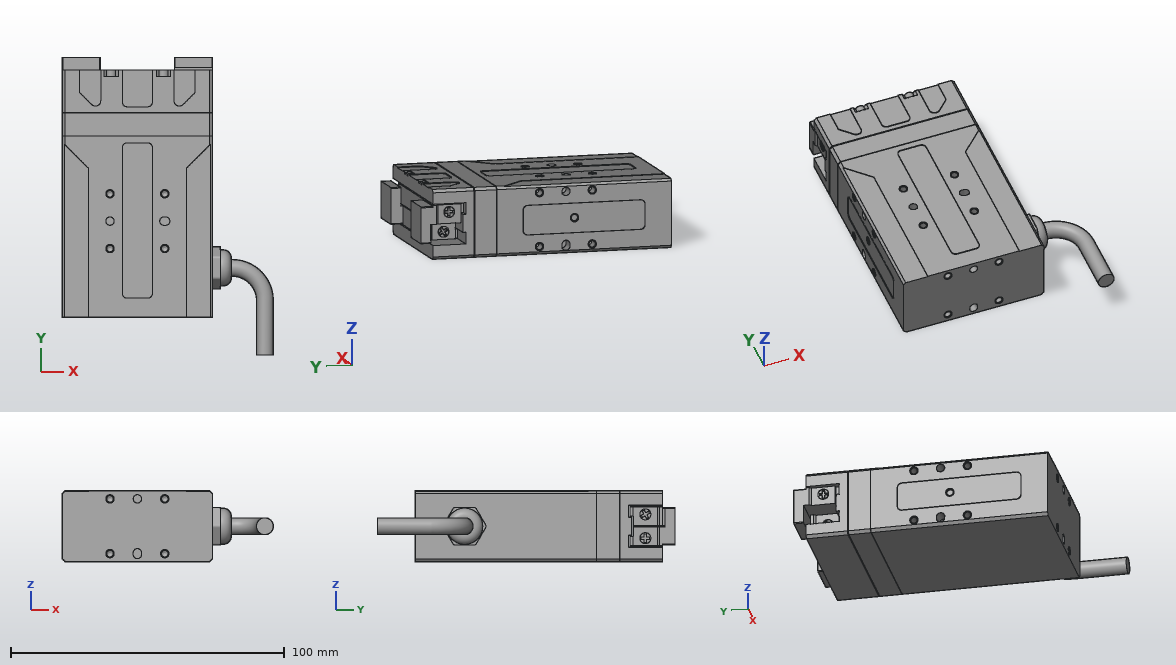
import cadquery as cq
import math


WIDTH = 55.1
LENGTH = 90.5
HEIGHT = 26.0
EDGE_CHAMFER = 1.1
SIDE_X = -WIDTH / 2
TOP_Z = HEIGHT / 2

SEAM_DEPTH = 0.1
CAP_SEAM_Y = 74.8
CAP_SEAM_WIDTH = 0.3
COVER_SEAM_Y = 66.3
COVER_SEAM_WIDTH = 0.1

RECESS_DEPTH = 0.3
RECESS_WIDTH = 11.0
RECESS_RADIUS = 1.7
TOP_RECESS_START_Y = 7.0
TOP_RECESS_END_Y = 63.8
SIDE_RECESS_START_Y = 10.0
SIDE_RECESS_END_Y = 56.3
FRONT_RECESS_START_Y = 77.0
FLANK_RECESS_INNER_X = 13.4
FLANK_RECESS_OUTER_X = 21.1
FLANK_RECESS_BEND_Y = 82.2
FLANK_RECESS_RADIUS = 2.0
PANEL_DEPTH = 0.2
PANEL_INNER_X = 18.0
PANEL_BEND_Y = 54.5

HOLE_PITCH = 10.0
HOLE_DEPTH = 5.4
THREAD_DIAMETER = 3.0
DRILL_DIAMETER = 2.4
THREAD_MOUTH_DEPTH = 0.3
DRILL_TIP_ANGLE = 118
DOWEL_DIAMETER = 3.0
DOWEL_SLOT_LENGTH = 3.7
TOP_HOLES_Y = 35.2
SIDE_HOLES_Y = 40.1
PLUG_HOLE_Y = 36.7
PLUG_HOLE_DEPTH = 1.0

SCREW_X = 9.6
SCREW_DIAMETER = 3.7
SCREW_AXIS_Z = TOP_Z - SCREW_DIAMETER / 2
SCREW_LENGTH = 2.4
NOTCH_WIDTH = 5.2
NOTCH_DEPTH = 1.1

SLOT_HEIGHT = 15.3
SLOT_BACK_Y = 79.1
RELIEF_BACK_Y = 78.0
RELIEF_INNER_Z = 3.4

TIP_HEIGHT = 13.7
TIP_END_Y = 95.0
TIP_BACK_Y = 91.3
TIP_LENGTH = 14.0
TIP_CHAMFER = 0.3
RAIL_TOP_Z = 7.2
RAIL_BOTTOM_Z = 0.16
RAIL_FRONT_Y = LENGTH
RAIL_BACK_Y = 79.7
RAIL_END_X = 19.8
RAIL_LIP_Y = 89.3
RAIL_END_STEP = 0.8
FLANGE_BACK_Y = 78.5
FLANGE_BOTTOM_Z = 3.7
FLANGE_INSET = 1.1
JAW_SCREW_DIAMETER = 4.0
JAW_SCREW_Y = 84.1
JAW_SCREW_Z = 4.4
JAW_SCREW_RECESS = 0.2
CROSS_LENGTH = 3.0
CROSS_WIDTH = 0.9
CROSS_DEPTH = 0.7
CROSS_TURN = 30

GLAND_Y = 18.1
NUT_ACROSS_FLATS = 13.8
NUT_LENGTH = 2.8
NUT_CORNER_RADIUS = 1.2
DOME_DIAMETER = 13.3
DOME_LENGTH = 4.0
DOME_FILLET = 3.0
CABLE_DIAMETER = 6.2
CABLE_BEND_RADIUS = 12.0
CABLE_OUTER_X = 49.7
CABLE_X = CABLE_OUTER_X - CABLE_DIAMETER / 2
CABLE_END_Y = -13.8


def box(x_range, y_range, z_range):
    """Box between the given ends along X, Y and Z."""
    size = [high - low for low, high in (x_range, y_range, z_range)]
    corner = (x_range[0], y_range[0], z_range[0])
    return cq.Workplane("XY").box(*size, centered=False).translate(corner)


TOP_FACE = cq.Plane(origin=(0, 0, TOP_Z), xDir=(1, 0, 0), normal=(0, 0, 1))
END_FACE = cq.Plane(origin=(0, 0, 0), xDir=(1, 0, 0), normal=(0, -1, 0))
SIDE_FACE = cq.Plane(origin=(SIDE_X, 0, 0), xDir=(0, -1, 0), normal=(-1, 0, 0))


def block_slice(start_y, end_y, inset=0.0):
    """Length of the chamfered block, with its long faces moved in by the inset."""
    return (
        cq.Workplane("XY")
        .box(WIDTH - 2 * inset, end_y - start_y, HEIGHT - 2 * inset)
        .edges("|Y")
        .chamfer(EDGE_CHAMFER)
        .translate((0, (start_y + end_y) / 2, 0))
    )


def cut_seam(body, middle_y, width):
    """Cut a shallow groove all round the block."""
    start_y = middle_y - width / 2
    end_y = middle_y + width / 2
    ring = block_slice(start_y, end_y).cut(block_slice(start_y, end_y, SEAM_DEPTH))
    return body.cut(ring)


def rounded_recess(plane, middle, length_x, length_y):
    """Shallow rectangle with round corners, ready to cut into a face."""
    return (
        cq.Workplane(plane)
        .center(*middle)
        .rect(length_x, length_y)
        .extrude(-RECESS_DEPTH)
        .edges(cq.selectors.ParallelDirSelector(plane.zDir))
        .fillet(RECESS_RADIUS)
    )


def cut_middle_recesses(body):
    """Long recesses in the top and the -X side."""
    top_length = TOP_RECESS_END_Y - TOP_RECESS_START_Y
    top_middle = (0, TOP_RECESS_START_Y + top_length / 2)
    side_length = SIDE_RECESS_END_Y - SIDE_RECESS_START_Y
    side_middle = (-SIDE_RECESS_START_Y - side_length / 2, 0)
    body = body.cut(rounded_recess(TOP_FACE, top_middle, RECESS_WIDTH, top_length))
    return body.cut(rounded_recess(SIDE_FACE, side_middle, side_length, RECESS_WIDTH))


def cut_front_recesses(body):
    """Three recesses in the top that run out at the +Y end."""
    length = LENGTH - FRONT_RECESS_START_Y
    middle_recess = (
        cq.Workplane(TOP_FACE)
        .center(0, FRONT_RECESS_START_Y + length / 2)
        .rect(RECESS_WIDTH, length)
        .extrude(-RECESS_DEPTH)
        .edges("|Z and <Y")
        .fillet(RECESS_RADIUS)
    )
    bend_run = FLANK_RECESS_OUTER_X - FLANK_RECESS_INNER_X
    flank_recess = (
        cq.Workplane(TOP_FACE)
        .moveTo(FLANK_RECESS_INNER_X, LENGTH)
        .lineTo(FLANK_RECESS_OUTER_X, LENGTH)
        .lineTo(FLANK_RECESS_OUTER_X, FLANK_RECESS_BEND_Y)
        .lineTo(FLANK_RECESS_INNER_X, FLANK_RECESS_BEND_Y - bend_run)
        .close()
        .extrude(-RECESS_DEPTH)
        .edges("|Z and <Y")
        .fillet(FLANK_RECESS_RADIUS)
    )
    return body.cut(middle_recess).cut(flank_recess).cut(flank_recess.mirror("YZ"))


def cut_side_panels(body):
    """Lowered panels along both long edges of the top, ended by a 45 degree step."""
    run = WIDTH / 2 - PANEL_INNER_X
    panel = (
        cq.Workplane(TOP_FACE)
        .moveTo(PANEL_INNER_X, 0)
        .lineTo(PANEL_INNER_X + run, 0)
        .lineTo(PANEL_INNER_X + run, PANEL_BEND_Y + run)
        .lineTo(PANEL_INNER_X, PANEL_BEND_Y)
        .close()
        .extrude(-PANEL_DEPTH)
    )
    return body.cut(panel).cut(panel.mirror("YZ"))


def cut_threaded_holes(body, plane, points):
    """Threaded holes: a wide mouth, a drilled hole and a conical bottom."""
    radius = DRILL_DIAMETER / 2
    tip_depth = HOLE_DEPTH + radius / math.tan(math.radians(DRILL_TIP_ANGLE / 2))
    profile = (
        cq.Workplane("XZ")
        .moveTo(0, 0)
        .lineTo(THREAD_DIAMETER / 2, 0)
        .lineTo(THREAD_DIAMETER / 2, -THREAD_MOUTH_DEPTH)
        .lineTo(radius, -THREAD_MOUTH_DEPTH)
        .lineTo(radius, -HOLE_DEPTH)
        .lineTo(0, -tip_depth)
        .close()
    )
    tool = profile.revolve(360, (0, 0, 0), (0, 1, 0)).val()
    for point in points:
        place = cq.Plane(plane.toWorldCoords(point), plane.xDir, plane.zDir)
        body = body.cut(tool.located(cq.Location(place)))
    return body


def cut_dowel_holes(body, plane, round_point, slot_point, slot_angle):
    """A round dowel hole and a slotted one."""
    round_hole = cq.Workplane(plane).center(*round_point).circle(DOWEL_DIAMETER / 2).extrude(-HOLE_DEPTH)
    slot = (
        cq.Workplane(plane)
        .center(*slot_point)
        .slot2D(DOWEL_SLOT_LENGTH, DOWEL_DIAMETER, slot_angle)
        .extrude(-HOLE_DEPTH)
    )
    return body.cut(round_hole).cut(slot)


def cut_mounting_holes(body):
    """Four threaded holes and two dowel holes on the top, the -Y end and the -X side."""
    patterns = [
        (TOP_FACE, (0, TOP_HOLES_Y), (-HOLE_PITCH, 0), (HOLE_PITCH, 0), 0),
        (END_FACE, (0, 0), (0, HOLE_PITCH), (0, -HOLE_PITCH), 90),
        (SIDE_FACE, (-SIDE_HOLES_Y, 0), (0, HOLE_PITCH), (0, -HOLE_PITCH), 90),
    ]
    for face, middle, round_point, slot_point, slot_angle in patterns:
        plane = cq.Plane(face.toWorldCoords(middle), face.xDir, face.zDir)
        corners = [(x, y) for x in (-HOLE_PITCH, HOLE_PITCH) for y in (-HOLE_PITCH, HOLE_PITCH)]
        body = cut_threaded_holes(body, plane, corners)
        body = cut_dowel_holes(body, plane, round_point, slot_point, slot_angle)
    return body


def cut_plug_hole(body):
    """Stepped hole in the floor of the side recess."""
    start = cq.Workplane(SIDE_FACE).center(-PLUG_HOLE_Y, 0)
    mouth = start.circle(THREAD_DIAMETER / 2).extrude(-RECESS_DEPTH - THREAD_MOUTH_DEPTH)
    bore = start.circle(DRILL_DIAMETER / 2).extrude(-PLUG_HOLE_DEPTH)
    return body.cut(mouth).cut(bore)


def cut_jaw_slot(body):
    """Slot for the jaws, through the block along X, with deeper top and bottom corners."""
    across = (SIDE_X, -SIDE_X)
    half = SLOT_HEIGHT / 2
    slot = box(across, (SLOT_BACK_Y, LENGTH), (-half, half))
    upper_relief = box(across, (RELIEF_BACK_Y, SLOT_BACK_Y), (RELIEF_INNER_Z, half))
    return body.cut(slot).cut(upper_relief).cut(upper_relief.mirror("XY"))


def add_screw_barrels(body):
    """Round screw barrels along Y, bared by 45 degree notches in the top edge."""
    floor_z = TOP_Z - NOTCH_DEPTH
    mouth_half = NOTCH_WIDTH / 2
    floor_half = mouth_half - NOTCH_DEPTH
    for x in (-SCREW_X, SCREW_X):
        notch = (
            cq.Workplane("XZ", origin=(0, LENGTH, 0))
            .moveTo(x - mouth_half, TOP_Z)
            .lineTo(x + mouth_half, TOP_Z)
            .lineTo(x + floor_half, floor_z)
            .lineTo(x - floor_half, floor_z)
            .close()
            .extrude(SCREW_LENGTH)
        )
        screw_start = cq.Workplane("XZ", origin=(x, LENGTH, SCREW_AXIS_Z))
        screw = screw_start.circle(SCREW_DIAMETER / 2).extrude(SCREW_LENGTH)
        body = body.cut(notch).union(screw)
    return body


def make_gland():
    """Hexagonal nut with rounded corners and a domed cap, on the +X side."""
    across_corners = NUT_ACROSS_FLATS / math.cos(math.pi / 6)
    face = cq.Workplane("YZ", origin=(WIDTH / 2, GLAND_Y, 0))
    nut = face.polygon(6, across_corners).extrude(NUT_LENGTH).edges("|X").fillet(NUT_CORNER_RADIUS)
    dome = (
        face.workplane(offset=NUT_LENGTH)
        .circle(DOME_DIAMETER / 2)
        .extrude(DOME_LENGTH)
        .faces(">X")
        .edges()
        .fillet(DOME_FILLET)
    )
    return nut.union(dome)


def make_cable():
    """Round cable that leaves the gland along +X and bends to -Y."""
    start_x = WIDTH / 2 + NUT_LENGTH
    bend_x = CABLE_X - CABLE_BEND_RADIUS
    bend_y = GLAND_Y - CABLE_BEND_RADIUS
    diagonal = CABLE_BEND_RADIUS * math.sqrt(0.5)
    path = (
        cq.Workplane("XY")
        .moveTo(start_x, GLAND_Y)
        .lineTo(bend_x, GLAND_Y)
        .threePointArc((bend_x + diagonal, bend_y + diagonal), (CABLE_X, bend_y))
        .lineTo(CABLE_X, CABLE_END_Y)
    )
    return cq.Workplane("YZ", origin=(start_x, GLAND_Y, 0)).circle(CABLE_DIAMETER / 2).sweep(path)


def make_housing():
    """Chamfered block with all its details, together with the gland and the cable."""
    body = block_slice(0, LENGTH)
    body = cut_seam(body, CAP_SEAM_Y, CAP_SEAM_WIDTH)
    body = cut_seam(body, COVER_SEAM_Y, COVER_SEAM_WIDTH)
    body = cut_middle_recesses(body)
    body = cut_front_recesses(body)
    body = cut_side_panels(body)
    body = cut_mounting_holes(body)
    body = cut_plug_hole(body)
    body = cut_jaw_slot(body)
    body = add_screw_barrels(body)
    return body.union(make_gland()).union(make_cable())


def cut_jaw_screw(jaw, end_x, turn):
    """Sunk screw head with a cross recess in one end of the rail."""
    inward = 1 if end_x < 0 else -1
    face = cq.Workplane("YZ", origin=(end_x, JAW_SCREW_Y, JAW_SCREW_Z))
    head = face.circle(JAW_SCREW_DIAMETER / 2).extrude(inward * JAW_SCREW_RECESS)
    jaw = jaw.cut(head)
    for angle in (turn, turn + 90):
        arm = face.transformed(rotate=(0, 0, angle)).rect(CROSS_LENGTH, CROSS_WIDTH)
        jaw = jaw.cut(arm.extrude(inward * (JAW_SCREW_RECESS + CROSS_DEPTH)))
    return jaw


def make_rail():
    """Upper rail: both ends have a front lip, and a flange at the back runs in the slot's deep corner."""
    low_end = SIDE_X + RAIL_END_STEP
    high_end = RAIL_END_X - RAIL_END_STEP
    step_y = RAIL_LIP_Y - RAIL_END_STEP
    bar = (
        cq.Workplane("XY", origin=(0, 0, RAIL_BOTTOM_Z))
        .moveTo(SIDE_X, RAIL_FRONT_Y)
        .lineTo(SIDE_X, RAIL_LIP_Y)
        .lineTo(low_end, step_y)
        .lineTo(low_end, RAIL_BACK_Y)
        .lineTo(high_end, RAIL_BACK_Y)
        .lineTo(high_end, step_y)
        .lineTo(RAIL_END_X, RAIL_LIP_Y)
        .lineTo(RAIL_END_X, RAIL_FRONT_Y)
        .close()
        .extrude(RAIL_TOP_Z - RAIL_BOTTOM_Z)
    )
    flange = box(
        (low_end + FLANGE_INSET, high_end - FLANGE_INSET),
        (FLANGE_BACK_Y, RAIL_BACK_Y),
        (FLANGE_BOTTOM_Z, RAIL_TOP_Z),
    )
    rail = bar.union(flange)
    rail = cut_jaw_screw(rail, low_end, 0)
    return cut_jaw_screw(rail, high_end, CROSS_TURN)


def make_left_jaw():
    """Jaw at -X: a full-height tip on a rail that fills the upper half of the slot."""
    tip_x = (SIDE_X, SIDE_X + TIP_LENGTH)
    half = TIP_HEIGHT / 2
    tip = box(tip_x, (RAIL_FRONT_Y, TIP_END_Y), (-half, half)).edges("|Y").chamfer(TIP_CHAMFER)
    clearance = box(tip_x, (RAIL_FRONT_Y, TIP_BACK_Y), (-half, RAIL_BOTTOM_Z))
    return tip.cut(clearance).union(make_rail())


housing = make_housing()
left_jaw = make_left_jaw()
right_jaw = left_jaw.rotate((0, 0, 0), (0, 1, 0), 180)

result = cq.Compound.makeCompound([housing.val(), left_jaw.val(), right_jaw.val()])